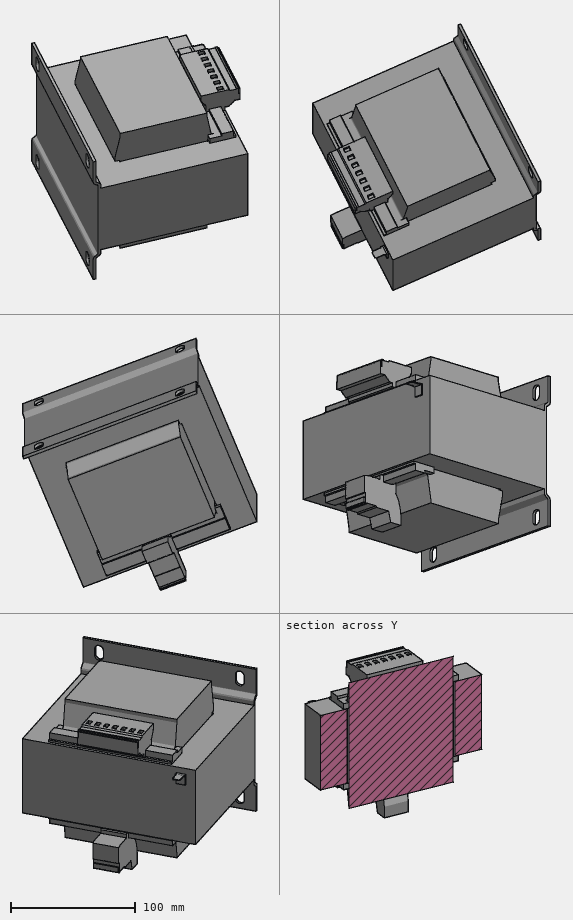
import cadquery as cq
import math


plate_width = 150.0
plate_height = 127.6
plate_thickness = 2.5
plate_offset = 4.0
joggle_start_z = 37.7
joggle_height = 3.0
inner_bend_radius = 0.75
outer_bend_radius = inner_bend_radius + plate_thickness
slot_spacing_x = 122.0
slot_spacing_z = 106.0
slot_width = 7.5
slot_length = 13.0

core_width = plate_width
core_depth = 125.0
core_height = 66.8
leg_width = core_width / 6
core_front = plate_offset + plate_thickness
core_back = core_front + core_depth
core_top = core_height / 2
window_width = core_width - 2 * leg_width
window_front = core_front + leg_width
window_back = core_back - leg_width

coil_width = 97.0
coil_top_z = 62.3
coil_rim_z = 59.0
coil_front = 27.8
coil_front_top = 32.2
coil_front_shoulder_z = 38.0
coil_back = 111.8
coil_back_top = 106.0
coil_back_root = 109.6
coil_root_radius = 2.2

rail_width = 106.6
rail_front = window_back + 0.2
rail_step_y = 116.9
rail_back = 126.9
rail_lip_back = 129.0
rail_low_z = 38.4
rail_high_z = 40.7
rail_lip_z = 35.2

pole_pitch = 7.45
top_pole_count = 7
bottom_pole_count = 3
top_blocks_left = -29.8
bottom_block_left = top_blocks_left + 2 * pole_pitch
foot_back = 130.6
foot_z = 36.0
foot_tip_y = 129.5

top_block_z = 57.0
top_face_back = 133.7
top_shelf_front = 134.8
top_shelf_back = 140.3
top_shelf_z = 55.7
top_ridge_z = 56.3
top_back_low_z = 43.7
top_underside_back = 138.9
top_underside_front = 133.7
top_underside_z = 38.9
top_neck_front = 114.4
top_neck_z = 44.4
top_overhang_front = 110.1
top_overhang_z = 51.5

bottom_neck_front = 113.1
bottom_neck_z = -47.3
bottom_bulge_upper = (110.1, -52.9)
bottom_bulge_lower = (108.6, -58.4)
bottom_lug_front = 107.7
bottom_lug_top_z = -63.4
bottom_lug_z = -73.15
bottom_lug_back = 118.8
bottom_lug_root = 121.1
bottom_face_z = -64.1
bottom_face_back = 134.2
bottom_shelf_front = 134.9
bottom_shelf_back = 144.6
bottom_shelf_z = -62.9
bottom_ridge_z = -63.4
bottom_seat_z = -54.4
bottom_slope_front = 144.2
bottom_slope_z = -40.1
bottom_upper_z = -39.2

entry_width = 3.5
entry_length = 5.0
entry_depth = 3.0
entry_y = 127.6

marker_inset = 0.4
top_back = 143.4
top_marker_seat = 142.0
top_marker_low_z = 50.2
top_marker_high_z = 55.2
bottom_back = 147.55
bottom_marker_seat = 146.2
bottom_marker_low_z = -62.4
bottom_marker_high_z = -58.1

tab_x = -62.55
tab_thickness = 0.8
tab_root_width = 8.0
tab_root_end = 134.5
tab_blade_width = 6.6
tab_blade_end = 142.8
tab_tip_chamfer = 1.0
tab_top_z = 28.2
tab_foot_z = 18.9
tab_foot_thickness = 1.2


def box(x_min, x_max, y_min, y_max, z_min, z_max):
    """Axis-aligned box between the given limits."""
    solid = cq.Workplane("XY").box(x_max - x_min, y_max - y_min, z_max - z_min, centered=False)
    return solid.translate((x_min, y_min, z_min))


def centred_box(width, y_min, y_max, z_min, z_max):
    """Box of the given X width, centred on X = 0."""
    return box(-width / 2, width / 2, y_min, y_max, z_min, z_max)


def extrude_x(outline, x_min, width):
    """Extrude a closed (Y, Z) outline along X."""
    return cq.Workplane("YZ", origin=(x_min, 0, 0)).polyline(outline).close().extrude(width)


def mirrored(outline):
    """Extend an outline of the Z > 0 half by its mirror image below Z = 0."""
    return outline + [(y, -z) for y, z in reversed(outline)]


def make_plate():
    bend_angle = math.atan2(plate_offset, joggle_height)
    corner_shift = plate_thickness / 2 * math.tan(bend_angle / 2)
    joggle_end_z = joggle_start_z + joggle_height
    web_inner = (plate_offset, joggle_start_z - corner_shift)
    web_outer = (core_front, joggle_start_z + corner_shift)
    flange_inner = (plate_thickness, joggle_end_z + corner_shift)
    flange_outer = (0.0, joggle_end_z - corner_shift)
    flange_end = plate_height / 2

    upper_front = [web_inner, flange_outer, (0.0, flange_end)]
    upper_back = [(plate_thickness, flange_end), flange_inner, web_outer]
    upper = upper_front + upper_back
    plate = extrude_x(mirrored(upper), -plate_width / 2, plate_width)

    bends = [
        (web_inner, inner_bend_radius),
        (flange_inner, inner_bend_radius),
        (web_outer, outer_bend_radius),
        (flange_outer, outer_bend_radius),
    ]
    for (y, z), radius in bends:
        for side in (1, -1):
            corner = cq.selectors.NearestToPointSelector((0, y, side * z))
            plate = plate.edges("|X").edges(corner).fillet(radius)

    slots = (
        cq.Workplane("XZ", origin=(0, core_front, 0))
        .rarray(slot_spacing_x, slot_spacing_z, 2, 2)
        .slot2D(slot_length, slot_width, 90)
        .extrude(core_front)
    )
    return plate.cut(slots)


def make_core():
    core = centred_box(core_width, core_front, core_back, -core_top, core_top)
    return core.cut(centred_box(window_width, window_front, window_back, -core_top, core_top))


def make_coil():
    body = centred_box(coil_width, window_front, window_back, -core_top, core_top)
    overhang = [
        (coil_front, core_top),
        (coil_front, coil_front_shoulder_z),
        (coil_front_top, coil_rim_z),
        (coil_front_top, coil_top_z),
        (coil_back_top, coil_top_z),
        (coil_back_top, coil_rim_z),
        (coil_back_root, rail_low_z),
        (coil_back, rail_low_z),
        (coil_back, core_top),
    ]
    upper = extrude_x(overhang, -coil_width / 2, coil_width)
    root = cq.selectors.NearestToPointSelector((0, coil_back_root, rail_low_z))
    upper = upper.edges("|X").edges(root).fillet(coil_root_radius)
    return body.union(upper).union(upper.mirror("XY"))


def make_rails():
    outline = [
        (rail_front, core_top),
        (rail_front, rail_low_z),
        (rail_step_y, rail_low_z),
        (rail_step_y, rail_high_z),
        (rail_back, rail_high_z),
        (rail_back, rail_lip_z),
        (rail_lip_back, rail_lip_z),
        (rail_lip_back, core_top),
    ]
    upper = extrude_x(outline, -rail_width / 2, rail_width)
    return upper.union(upper.mirror("XY"))


def make_top_blocks():
    width = top_pole_count * pole_pitch
    outline = [
        (top_overhang_front, top_block_z),
        (top_face_back, top_block_z),
        (top_shelf_front, top_shelf_z),
        (top_shelf_back, top_shelf_z),
        (top_shelf_back, top_ridge_z),
        (top_marker_seat, top_ridge_z),
        (top_marker_seat, top_marker_low_z),
        (top_back, top_marker_low_z),
        (top_back, top_back_low_z),
        (top_underside_back, top_back_low_z),
        (top_underside_front, top_underside_z),
        (foot_back, top_underside_z),
        (foot_back, foot_z),
        (foot_tip_y, rail_lip_z),
        (rail_back, rail_lip_z),
        (rail_back, rail_low_z),
        (top_neck_front, rail_low_z),
        (top_neck_front, top_neck_z),
        (top_overhang_front, top_overhang_z),
    ]
    blocks = extrude_x(outline, top_blocks_left, width)
    marker = box(
        top_blocks_left + marker_inset,
        top_blocks_left + width - marker_inset,
        top_marker_seat,
        top_back,
        top_marker_low_z,
        top_marker_high_z,
    )
    blocks = blocks.union(marker)
    for pole in range(top_pole_count):
        entry_left = top_blocks_left + (pole + 0.5) * pole_pitch - entry_width / 2
        entry = box(
            entry_left,
            entry_left + entry_width,
            entry_y - entry_length / 2,
            entry_y + entry_length / 2,
            top_block_z - entry_depth,
            top_block_z,
        )
        blocks = blocks.cut(entry)
    return blocks


def make_bottom_block():
    width = bottom_pole_count * pole_pitch
    outline = [
        (bottom_neck_front, -rail_low_z),
        (bottom_neck_front, bottom_neck_z),
        bottom_bulge_upper,
        bottom_bulge_lower,
        (bottom_lug_front, bottom_lug_top_z),
        (bottom_lug_front, bottom_lug_z),
        (bottom_lug_back, bottom_lug_z),
        (bottom_lug_root, bottom_face_z),
        (bottom_face_back, bottom_face_z),
        (bottom_shelf_front, bottom_shelf_z),
        (bottom_shelf_back, bottom_shelf_z),
        (bottom_shelf_back, bottom_ridge_z),
        (bottom_marker_seat, bottom_ridge_z),
        (bottom_marker_seat, bottom_seat_z),
        (bottom_back, bottom_seat_z),
        (bottom_back, bottom_slope_z),
        (bottom_slope_front, bottom_upper_z),
        (foot_back, bottom_upper_z),
        (foot_back, -foot_z),
        (foot_tip_y, -rail_lip_z),
        (rail_back, -rail_lip_z),
        (rail_back, -rail_low_z),
    ]
    block = extrude_x(outline, bottom_block_left, width)
    marker = box(
        bottom_block_left + marker_inset,
        bottom_block_left + width - marker_inset,
        bottom_marker_seat,
        bottom_back,
        bottom_marker_low_z,
        bottom_marker_high_z,
    )
    return block.union(marker)


def make_earth_tab():
    def strip(width, y_end, z_min, z_max):
        return box(tab_x - width / 2, tab_x + width / 2, core_back, y_end, z_min, z_max)

    blade_bottom = tab_top_z - tab_thickness
    blade = strip(tab_blade_width, tab_blade_end, blade_bottom, tab_top_z)
    blade = blade.edges("|Z and >Y").chamfer(tab_tip_chamfer)
    root = strip(tab_root_width, tab_root_end, blade_bottom, tab_top_z)
    foot = strip(tab_root_width, core_back + tab_foot_thickness, tab_foot_z, tab_top_z)
    return blade.union(root).union(foot)


result = (
    make_core()
    .union(make_plate())
    .union(make_coil())
    .union(make_rails())
    .union(make_top_blocks())
    .union(make_bottom_block())
    .union(make_earth_tab())
)